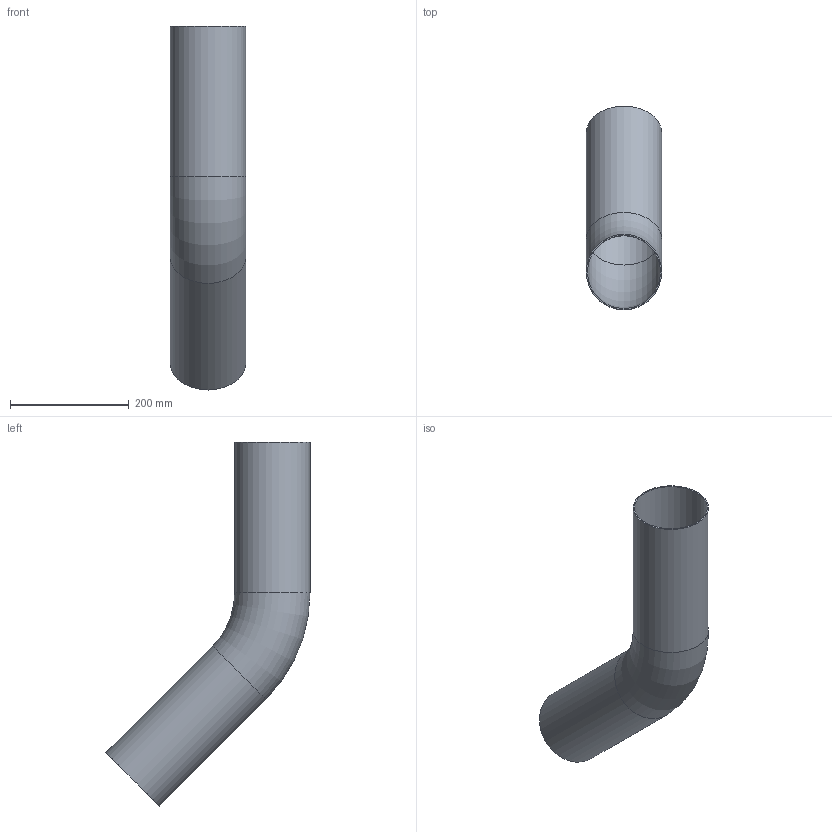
import cadquery as cq
import math

OUTER_DIAMETER = 127.0
INNER_DIAMETER = 122.78
BEND_ANGLE = 45.0
BEND_RADIUS = 1.5 * OUTER_DIAMETER
LEG_LENGTH = 2.0 * OUTER_DIAMETER


def bend_point(angle_degrees):
    """Return the centreline (y, z) of the bend at an angle below its upper end."""
    angle = math.radians(angle_degrees)
    return (BEND_RADIUS * (1 - math.cos(angle)), -BEND_RADIUS * math.sin(angle))


def pipe_centreline():
    """Vertical leg, tangent bend towards +Y, then the sloping lower leg."""
    bend_end_y, bend_end_z = bend_point(BEND_ANGLE)
    slope = math.radians(BEND_ANGLE)
    lower_end = (
        bend_end_y + LEG_LENGTH * math.sin(slope),
        bend_end_z - LEG_LENGTH * math.cos(slope),
    )
    return (
        cq.Workplane("YZ")
        .moveTo(0, LEG_LENGTH)
        .lineTo(0, 0)
        .threePointArc(bend_point(BEND_ANGLE / 2), (bend_end_y, bend_end_z))
        .lineTo(*lower_end)
    )


def pipe():
    """Sweep the ring-shaped wall section from the upper end to the lower end."""
    return (
        cq.Workplane("XY", origin=(0, 0, LEG_LENGTH))
        .circle(OUTER_DIAMETER / 2)
        .circle(INNER_DIAMETER / 2)
        .sweep(pipe_centreline())
    )


result = pipe()